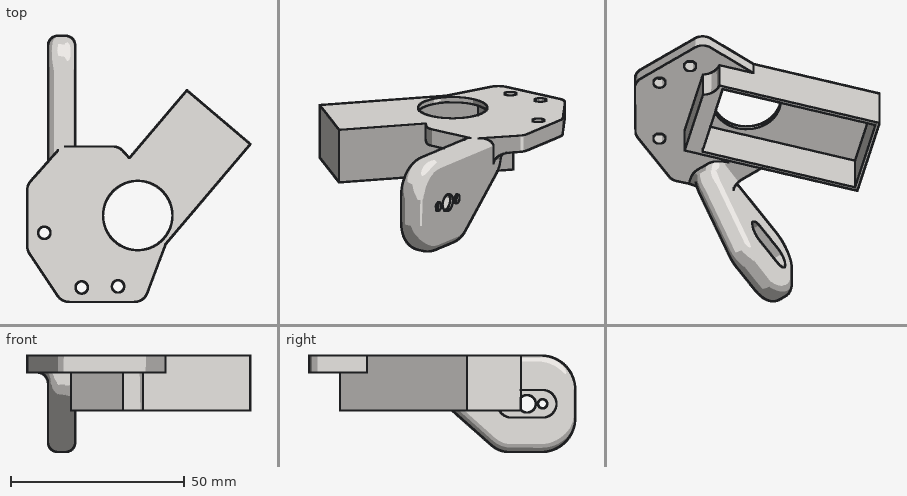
import cadquery as cq
import math


plate_thickness = 5.0
plate_left = -32.0
plate_front = -25.0
plate_back = 20.0
plate_corner_radius = 4.0
plate_outline = [
    (plate_left, 8.8),
    (plate_left, -10.0),
    (-22.0, plate_front),
    (1.8, plate_front),
    (8.2, -8.0),
    (8.2, 5.0),
    (-5.5, plate_back),
    (-22.0, plate_back),
]
bore_diameter = 20.0
screw_hole_diameter = 3.5
screw_hole_centres = [(-27.0, -5.0), (-16.2, -20.8), (-5.7, -20.5)]

arm_angle = 49.7
arm_height = 16.0
arm_near = -15.0
arm_far = 36.8
arm_left = -12.6
arm_right = 11.5
arm_wall = 1.0
arm_roof = 1.6
arm_cavity_near = -bore_diameter / 2
corner_relief_centre = (-1.3, -20.6)
corner_relief_radius = 5.4

fin_left = -26.0
fin_thickness = 8.0
fin_near = 10.0
fin_far = 52.0
fin_height = 28.0
fin_far_radius = 10.0
fin_near_radius = 8.0
fin_edge_radius = 3.0
fin_foot_far = 33.0
fin_slope_angle = 41.5
cove_radius = 3.0

mount_y = 38.0
mount_z = -fin_height / 2
mount_bore_diameter = 5.0
mount_screw_diameter = 2.6
mount_screw_offset = 4.5
mount_wall = 1.0
mount_slot_width = 8.0


def arm_box(near, far, left, right, bottom, top):
    """Box given in distances along and across the turned arm."""
    box = cq.Workplane("XY").box(far - near, right - left, top - bottom, centered=False)
    return box.translate((near, -right, bottom)).rotate((0, 0, 0), (0, 0, 1), arm_angle)


def make_plate(thickness):
    """Plate outline with rounded corners, hanging below Z = 0."""
    plate = cq.Workplane("XY").polyline(plate_outline).close().extrude(-thickness)
    return plate.edges("|Z").fillet(plate_corner_radius)


def make_arm():
    """Solid arm with a round bite out of its near right corner."""
    arm = arm_box(arm_near, arm_far, arm_left, arm_right, -arm_height, 0)
    relief = (
        cq.Workplane("XY")
        .center(*corner_relief_centre)
        .circle(corner_relief_radius)
        .extrude(-arm_height)
    )
    return arm.cut(relief)


def make_arm_cavity():
    """Pocket open at the bottom of the arm; it leaves a roof and a thicker near wall."""
    return arm_box(
        arm_cavity_near,
        arm_far - arm_wall,
        arm_left + arm_wall,
        arm_right - arm_wall,
        -arm_height,
        -arm_roof,
    )


def fin_slab(left, thickness):
    """Sharp-edged slab with two round far corners and a sloped near end."""
    slope = math.radians(fin_slope_angle)
    foot_tangent_y = fin_foot_far - fin_near_radius * math.sin(slope)
    foot_tangent_z = -fin_height + fin_near_radius * (1 - math.cos(slope))
    heel_tangent_y = fin_near + fin_near_radius * (1 - math.sin(slope))
    heel_tangent_z = foot_tangent_z + (foot_tangent_y - heel_tangent_y) * math.tan(slope)
    heel_top_z = heel_tangent_z + fin_near_radius * math.cos(slope)
    half_slope = slope / 2
    foot_middle = (
        fin_foot_far - fin_near_radius * math.sin(half_slope),
        -fin_height + fin_near_radius * (1 - math.cos(half_slope)),
    )
    heel_middle_angle = (slope + math.pi / 2) / 2
    heel_middle = (
        fin_near + fin_near_radius * (1 - math.sin(heel_middle_angle)),
        heel_top_z - fin_near_radius * math.cos(heel_middle_angle),
    )
    return (
        cq.Workplane("YZ", origin=(left, 0, 0))
        .moveTo(fin_near, 0)
        .lineTo(fin_far - fin_far_radius, 0)
        .radiusArc((fin_far, -fin_far_radius), fin_far_radius)
        .lineTo(fin_far, -fin_height + fin_far_radius)
        .radiusArc((fin_far - fin_far_radius, -fin_height), fin_far_radius)
        .lineTo(fin_foot_far, -fin_height)
        .threePointArc(foot_middle, (foot_tangent_y, foot_tangent_z))
        .lineTo(heel_tangent_y, heel_tangent_z)
        .threePointArc(heel_middle, (fin_near, heel_top_z))
        .close()
        .extrude(thickness)
    )


def make_fin():
    """Fin with all its edges rounded."""
    slab = fin_slab(fin_left, fin_thickness)
    return slab.faces("<X or >X").edges().fillet(fin_edge_radius)


def make_fin_foot():
    """Part of the fin below the plate outline, flaring into the plate with a cove on each side.

    The rounding of the fin edges carries on along the concave end edges of the coves.
    """
    fin_right = fin_left + fin_thickness
    cove_bottom = -plate_thickness - cove_radius
    flare_left = fin_left - cove_radius
    flare_width = fin_thickness + 2 * cove_radius
    flare = fin_slab(flare_left, flare_width).intersect(
        cq.Workplane("XY")
        .box(flare_width, plate_back - fin_near, -cove_bottom, centered=False)
        .translate((flare_left, fin_near, cove_bottom))
    )
    for cove_x in (flare_left, fin_right + cove_radius):
        hollow = (
            cq.Workplane("XZ", origin=(cove_x, fin_near, cove_bottom))
            .circle(cove_radius)
            .extrude(fin_near - plate_back)
        )
        flare = flare.cut(hollow)
    foot = fin_slab(fin_left, fin_thickness).union(flare)
    cove_arcs = foot.faces("<Y").edges("%CIRCLE")
    foot = cove_arcs.fillet(fin_edge_radius)
    return foot.intersect(make_plate(fin_height))


def make_mount_cuts():
    """Bore and two screw holes through the fin, with a slot recess from its +X side."""

    def on_fin(x):
        return cq.Workplane("YZ", origin=(x, mount_y, mount_z))

    bore = on_fin(fin_left).circle(mount_bore_diameter / 2).extrude(fin_thickness)
    screws = (
        on_fin(fin_left)
        .pushPoints([(-mount_screw_offset, 0), (mount_screw_offset, 0)])
        .circle(mount_screw_diameter / 2)
        .extrude(fin_thickness)
    )
    slot = (
        on_fin(fin_left + mount_wall)
        .slot2D(2 * mount_screw_offset + mount_slot_width, mount_slot_width)
        .extrude(fin_thickness)
    )
    return bore.union(screws).union(slot)


def make_plate_holes():
    """Screw holes and the bore that opens into the arm cavity."""
    holes = (
        cq.Workplane("XY")
        .pushPoints(screw_hole_centres)
        .circle(screw_hole_diameter / 2)
        .extrude(-plate_thickness)
    )
    bore = cq.Workplane("XY").circle(bore_diameter / 2).extrude(-arm_height)
    return holes.union(bore)


result = (
    make_plate(plate_thickness)
    .union(make_arm())
    .cut(make_arm_cavity())
    .union(make_fin())
    .union(make_fin_foot())
    .cut(make_plate_holes())
    .cut(make_mount_cuts())
)